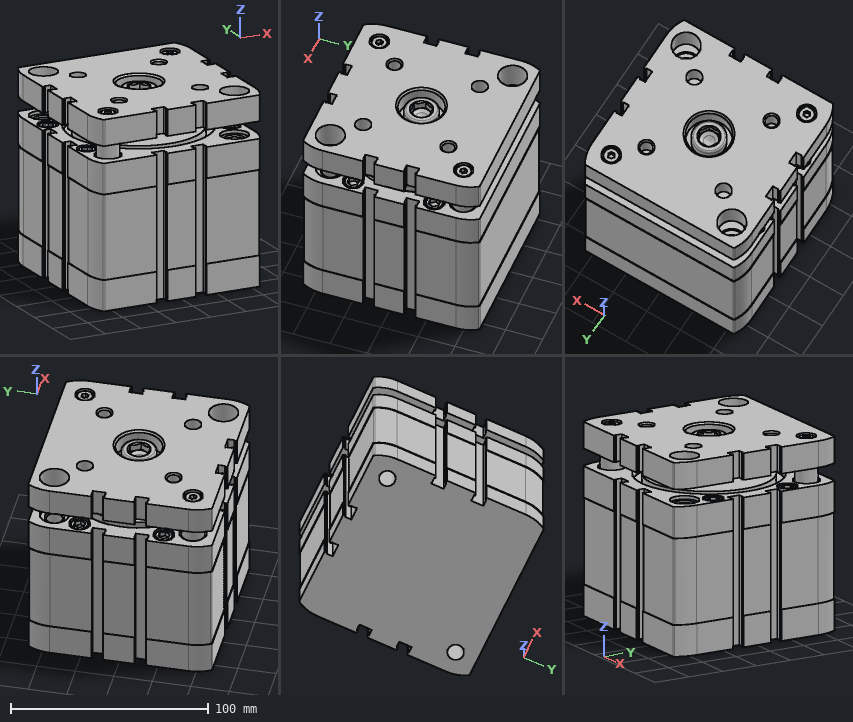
import cadquery as cq
import math

side = 95.5
half = side / 2
total_height = 102.4
plate_thickness = 14.1
housing_height = 79.1
plate_bottom = total_height - plate_thickness

hole_pitch = 72.0
corner = hole_pitch / 2
corner_radius = 22.5
corner_round = 1.0

slot_offset = 11.2
slot_mouth = 5.6
slot_width = 6.8
slot_depth = 4.8
slot_lip = 1.4
slot_flare = 0.3
slot_flare_depth = 0.7

barrel_bottom = 16.7
barrel_top = 62.4
barrel_inset = 0.3

guide_diameter = 12.0
piston_diameter = 20.0
rod_end = barrel_bottom
flat_width = 16.8
flat_bottom = 81.5
flat_run_out = 0.9
guide_recess_diameter = 14.0
guide_recess_depth = 1.0

clearance_diameter = 15.0
clearance_recess_depth = 1.8
through_diameter = 8.4
through_mouth = 10.0

ring_outer = 78.0
ring_inner = 68.2
ring_depth = 4.6

screw_gap_depth = 1.5
screw_socket_depth = 2.6
cap_screw_x = 40.8
cap_screw_y = 21.9
cap_screw_hole = 10.6
cap_screw_head = 8.6
cap_screw_sink = 0.4
cap_screw_hex = 6.0
plate_screw_hole = 10.0
plate_screw_head = 8.0
plate_screw_sink = 0.7
plate_screw_hex = 3.8

small_hole_place = 23.0
small_hole_depth = 10.2
plain_hole = 8.4
thread_hole = 6.7

centre_bore = 24.0
centre_chamfer = 1.0
centre_bore_depth = 9.2
end_diameter = 18.0
end_fillet = 1.0
end_sink = 2.7
hex_mouth = 12.0
hex_corners = 11.8
hex_depth = 4.3
hex_inner = hex_corners * math.cos(math.pi / 6)
pilot_diameter = 6.0
pilot_taper = 1.0
pilot_tip = 1.8


def cylinder(diameter, bottom, top, x=0, y=0):
    return cq.Workplane("XY", origin=(x, y, bottom)).circle(diameter / 2).extrude(top - bottom)


def cone(lower_diameter, upper_diameter, bottom, top, x=0, y=0):
    solid = cq.Solid.makeCone(lower_diameter / 2, upper_diameter / 2, top - bottom, cq.Vector(x, y, bottom))
    return cq.Workplane(solid)


def hexagon(corners, bottom, top, x=0, y=0):
    return cq.Workplane("XY", origin=(x, y, bottom)).polygon(6, corners).extrude(top - bottom)


def block(bottom, top, inset=0.0):
    """Square block with arched corners, all sides moved in by the inset."""
    edge = half - inset
    radius = corner_radius - inset
    centre_x = half - corner_radius

    def arc_x(y):
        return centre_x + math.sqrt(radius ** 2 - (y - corner) ** 2)

    middle = (corner + edge) / 2
    end_x = arc_x(edge)
    middle_x = arc_x(middle)
    return (
        cq.Workplane("XY", origin=(0, 0, bottom))
        .moveTo(edge, -corner)
        .lineTo(edge, corner)
        .threePointArc((middle_x, middle), (end_x, edge))
        .lineTo(-end_x, edge)
        .threePointArc((-middle_x, middle), (-edge, corner))
        .lineTo(-edge, -corner)
        .threePointArc((-middle_x, -middle), (-end_x, -edge))
        .lineTo(end_x, -edge)
        .threePointArc((middle_x, -middle), (edge, -corner))
        .close()
        .extrude(top - bottom)
        .edges("|Z and (>Y or <Y)")
        .fillet(corner_round)
    )


def slot_cutter(place):
    """Full-height T-slot in the -Y side, with flared lips."""
    mouth = slot_mouth / 2
    pocket = slot_width / 2
    entry = mouth + slot_flare
    right_side = [
        (entry, 0),
        (mouth, slot_flare_depth),
        (mouth, slot_lip),
        (pocket, slot_lip),
        (pocket, slot_depth),
    ]
    left_side = [(-x, y) for x, y in reversed(right_side)]
    profile = cq.Workplane("XY", origin=(place, -half, 0)).polyline(right_side + left_side).close()
    return profile.extrude(total_height)


def cut_slots(body):
    """Cut two T-slots into each of the -Y, +X and -X sides."""
    for place in (-slot_offset, slot_offset):
        for turn in (-90, 0, 90):
            body = body.cut(slot_cutter(place).rotate((0, 0, 0), (0, 0, 1), turn))
    return body


def cut_screw(body, x, y, face, hole_size, head_size, sink, hex_size):
    """Form a sunk screw head with a hexagon socket and a narrow gap around it."""
    top = face - sink
    gap = cylinder(hole_size, face - screw_gap_depth, face, x, y)
    head = cylinder(head_size, face - screw_gap_depth, top, x, y)
    socket = hexagon(hex_size, top - screw_socket_depth, top, x, y)
    return body.cut(gap.cut(head)).cut(socket)


def ring_recess():
    """Annular recess in the housing top."""
    floor = housing_height - ring_depth
    recess = cylinder(ring_outer, floor, housing_height)
    return recess.cut(cylinder(ring_inner, floor, housing_height))


def make_housing():
    body = (
        block(0, barrel_bottom)
        .union(block(barrel_bottom, barrel_top, barrel_inset))
        .union(block(barrel_top, housing_height))
    )
    body = cut_slots(body).cut(ring_recess())

    guide_floor = housing_height - guide_recess_depth
    body = body.cut(cylinder(piston_diameter, rod_end, housing_height))
    for x, y in ((-corner, -corner), (corner, corner)):
        body = body.cut(cylinder(guide_diameter, rod_end, housing_height, x, y))
        body = body.cut(cylinder(guide_recess_diameter, guide_floor, housing_height, x, y))

    recess_floor = housing_height - clearance_recess_depth
    mouth_bottom = recess_floor - (through_mouth - through_diameter) / 2
    for x, y in ((-corner, corner), (corner, -corner)):
        body = body.cut(cylinder(through_diameter, 0, housing_height, x, y))
        body = body.cut(cone(through_diameter, through_mouth, mouth_bottom, recess_floor, x, y))
        body = body.cut(cylinder(clearance_diameter, recess_floor, housing_height, x, y))

    for x in (-cap_screw_x, cap_screw_x):
        for y in (-cap_screw_y, cap_screw_y):
            body = cut_screw(
                body, x, y, housing_height, cap_screw_hole, cap_screw_head, cap_screw_sink, cap_screw_hex
            )
    return body


def make_piston_rod():
    """Piston rod with two wrench flats that run out in a slope."""
    rod = cylinder(piston_diameter, rod_end, plate_bottom)
    radius = piston_diameter / 2
    flat = flat_width / 2
    cutter = (
        cq.Workplane("YZ")
        .moveTo(flat, flat_bottom)
        .lineTo(flat, plate_bottom)
        .lineTo(radius, plate_bottom)
        .lineTo(radius, flat_bottom - flat_run_out)
        .close()
        .extrude(radius, both=True)
    )
    return rod.cut(cutter).cut(cutter.mirror("XZ"))


def cut_centre(body):
    """Bore around the rod end, and the hexagon socket in the rod end."""
    top = total_height
    end_top = top - end_sink
    end = cylinder(end_diameter, top - centre_bore_depth, end_top).faces(">Z").fillet(end_fillet)
    bore = cylinder(centre_bore, top - centre_bore_depth, top)
    bore_mouth = cone(centre_bore, centre_bore + 2 * centre_chamfer, top - centre_chamfer, top)
    body = body.cut(bore.cut(end)).cut(bore_mouth)

    hex_bottom = end_top - hex_depth
    pilot_top = hex_bottom - pilot_taper
    lead_in = cone(hex_inner, hex_mouth, end_top - (hex_mouth - hex_inner) / 2, end_top)
    body = body.cut(hexagon(hex_corners, hex_bottom, end_top)).cut(lead_in)
    body = body.cut(cone(pilot_diameter, hex_inner, pilot_top, hex_bottom))
    return body.cut(cone(0, pilot_diameter, pilot_top - pilot_tip, pilot_top))


def make_slide():
    """Front plate with its piston rod and two guide rods."""
    top = total_height
    body = cut_slots(block(plate_bottom, top)).union(make_piston_rod())
    body = cut_centre(body)
    for x, y in ((-corner, -corner), (corner, corner)):
        body = body.union(cylinder(guide_diameter, rod_end, plate_bottom, x, y))
        body = cut_screw(
            body, x, y, top, plate_screw_hole, plate_screw_head, plate_screw_sink, plate_screw_hex
        )

    for x, y in ((-corner, corner), (corner, -corner)):
        body = body.cut(cylinder(clearance_diameter, plate_bottom, top, x, y))

    small_bottom = top - small_hole_depth
    place = small_hole_place
    for x, y in ((-place, place), (place, -place)):
        body = body.cut(cylinder(plain_hole, small_bottom, top, x, y))
    for x, y in ((-place, -place), (place, place)):
        body = body.cut(cylinder(thread_hole, small_bottom, top, x, y))
        body = body.cut(cone(thread_hole, plain_hole, top - (plain_hole - thread_hole) / 2, top, x, y))
    return body


housing = make_housing()
slide = make_slide()
result = cq.Compound.makeCompound([housing.solids().val(), slide.solids().val()])